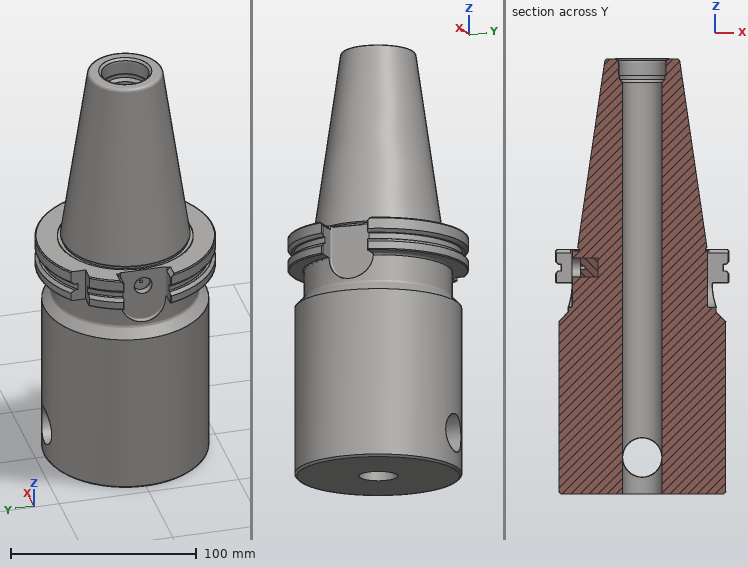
import cadquery as cq
import math

TOTAL_HEIGHT = 234.5

BODY_RADIUS = 45.0
BODY_TOP_Z = 93.0
BODY_BOTTOM_CHAMFER = 1.2

NECK_RADIUS = 39.9
NECK_FILLET = 1.9
NECK_TOP_FILLET = 0.82
SHOULDER_RISE = BODY_RADIUS - NECK_RADIUS

FLANGE_DIAMETER = 97.4
FLANGE_RADIUS = FLANGE_DIAMETER / 2
FLANGE_BOTTOM_Z = 113.8
FLANGE_TOP_Z = 131.8
FLANGE_CHAMFER = 0.59
GROOVE_CENTER_Z = 122.0
GROOVE_MOUTH_WIDTH = 7.0
GROOVE_STEP_RADIUS = 47.0
GROOVE_FLOOR_RADIUS = 45.5
GROOVE_FLANK_ANGLE = 45.0

TAPER_LARGE_RADIUS = 35.0
TAPER_BASE_Z = 133.0
TAPER_SLOPE = 7 / 48
TAPER_TIP_FILLET = 2.0
TAPER_TIP_RADIUS = TAPER_LARGE_RADIUS - (TOTAL_HEIGHT - TAPER_BASE_Z) * TAPER_SLOPE

UNDERCUT = 0.7
RELIEF_OUTER_RADIUS = 36.5
RELIEF_DEPTH = 0.7

BORE_RADIUS = 10.5
MOUTH_RADIUS = 14.3
MOUTH_CHAMFER_RADIUS = 13.0
MOUTH_CHAMFER_DEPTH = 1.2
COUNTERBORE_RADIUS = 12.7
LEAD_IN_DEPTH = 2.3
COUNTERBORE_DEPTH = 9.1
INNER_COUNTERBORE_RADIUS = 12.2
INNER_COUNTERBORE_DEPTH = 11.3
BORE_CHAMFER = INNER_COUNTERBORE_RADIUS - BORE_RADIUS

SLOT_HALF_WIDTH = 13.0
SLOT_LEFT_FLOOR = 37.8
SLOT_RIGHT_FLOOR = 35.2
SLOT_END_CENTER_Z = 113.5
SLOT_FLOOR_FILLET = 0.82
SLOT_TOP_CHAMFER = 2.0
SLOT_EDGE_CHAMFER = 0.59

NOTCH_OFFSET = 30.0

CLAMP_HOLE_RADIUS = 10.5
CLAMP_HOLE_Z = 19.7

PLUG_RADIUS = 5.0
PLUG_LENGTH = 9.5
PLUG_RECESS = 4.5
SOCKET_RADIUS = 0.82
SOCKET_DEPTH = 2.3


def revolve_profile(profile):
    """Revolve an XZ half section around the Z axis."""
    return profile.close().revolve(360, (0, 0, 0), (0, 1, 0))


def fillet_circle(solid, radius, z, fillet):
    """Fillet the one circular edge of the given radius at height z."""
    margin = fillet / 4
    edge = cq.selectors.BoxSelector(
        (-radius - margin, -radius - margin, z - margin),
        (radius + margin, radius + margin, z + margin),
        boundingbox=True,
    )
    return solid.edges(edge).fillet(fillet)


def make_body_and_neck():
    shoulder_top_z = BODY_TOP_Z + SHOULDER_RISE
    body = revolve_profile(
        cq.Workplane("XZ")
        .lineTo(BODY_RADIUS - BODY_BOTTOM_CHAMFER, 0)
        .lineTo(BODY_RADIUS, BODY_BOTTOM_CHAMFER)
        .lineTo(BODY_RADIUS, BODY_TOP_Z)
        .lineTo(NECK_RADIUS, shoulder_top_z)
        .lineTo(NECK_RADIUS, FLANGE_BOTTOM_Z)
        .lineTo(0, FLANGE_BOTTOM_Z)
    )
    return fillet_circle(body, NECK_RADIUS, shoulder_top_z, NECK_FILLET)


def make_flange():
    flank_height = (FLANGE_RADIUS - GROOVE_STEP_RADIUS) * math.tan(math.radians(GROOVE_FLANK_ANGLE))
    half_mouth = GROOVE_MOUTH_WIDTH / 2
    half_channel = half_mouth - flank_height
    edge_radius = FLANGE_RADIUS - FLANGE_CHAMFER
    relief_floor_z = FLANGE_TOP_Z - RELIEF_DEPTH
    return revolve_profile(
        cq.Workplane("XZ")
        .moveTo(0, FLANGE_BOTTOM_Z)
        .lineTo(edge_radius, FLANGE_BOTTOM_Z)
        .lineTo(FLANGE_RADIUS, FLANGE_BOTTOM_Z + FLANGE_CHAMFER)
        .lineTo(FLANGE_RADIUS, GROOVE_CENTER_Z - half_mouth)
        .lineTo(GROOVE_STEP_RADIUS, GROOVE_CENTER_Z - half_channel)
        .lineTo(GROOVE_FLOOR_RADIUS, GROOVE_CENTER_Z - half_channel)
        .lineTo(GROOVE_FLOOR_RADIUS, GROOVE_CENTER_Z + half_channel)
        .lineTo(GROOVE_STEP_RADIUS, GROOVE_CENTER_Z + half_channel)
        .lineTo(FLANGE_RADIUS, GROOVE_CENTER_Z + half_mouth)
        .lineTo(FLANGE_RADIUS, FLANGE_TOP_Z - FLANGE_CHAMFER)
        .lineTo(edge_radius, FLANGE_TOP_Z)
        .lineTo(RELIEF_OUTER_RADIUS, FLANGE_TOP_Z)
        .lineTo(RELIEF_OUTER_RADIUS, relief_floor_z)
        .lineTo(0, relief_floor_z)
    )


def make_taper():
    undercut_radius = TAPER_LARGE_RADIUS - UNDERCUT
    taper = revolve_profile(
        cq.Workplane("XZ")
        .moveTo(0, FLANGE_BOTTOM_Z)
        .lineTo(undercut_radius, FLANGE_BOTTOM_Z)
        .lineTo(undercut_radius, TAPER_BASE_Z - UNDERCUT)
        .lineTo(TAPER_LARGE_RADIUS, TAPER_BASE_Z)
        .lineTo(TAPER_TIP_RADIUS, TOTAL_HEIGHT)
        .lineTo(0, TOTAL_HEIGHT)
    )
    return taper.faces(">Z").edges().fillet(TAPER_TIP_FILLET)


def make_bore_cutter():
    inner_counterbore_z = TOTAL_HEIGHT - INNER_COUNTERBORE_DEPTH
    counterbore_z = TOTAL_HEIGHT - COUNTERBORE_DEPTH
    return revolve_profile(
        cq.Workplane("XZ")
        .lineTo(BORE_RADIUS, 0)
        .lineTo(BORE_RADIUS, inner_counterbore_z - BORE_CHAMFER)
        .lineTo(INNER_COUNTERBORE_RADIUS, inner_counterbore_z)
        .lineTo(INNER_COUNTERBORE_RADIUS, counterbore_z)
        .lineTo(COUNTERBORE_RADIUS, counterbore_z)
        .lineTo(COUNTERBORE_RADIUS, TOTAL_HEIGHT - LEAD_IN_DEPTH)
        .lineTo(MOUTH_CHAMFER_RADIUS, TOTAL_HEIGHT - MOUTH_CHAMFER_DEPTH)
        .lineTo(MOUTH_RADIUS, TOTAL_HEIGHT)
        .lineTo(0, TOTAL_HEIGHT)
    )


def make_slot_cutter(floor, side):
    """Round-ended slot, open upward; side is +1 for +X and -1 for -X."""
    depth = FLANGE_RADIUS - floor
    channel = (
        cq.Workplane("YZ", origin=(floor, 0, 0))
        .moveTo(-SLOT_HALF_WIDTH, SLOT_END_CENTER_Z)
        .threePointArc((0, SLOT_END_CENTER_Z - SLOT_HALF_WIDTH), (SLOT_HALF_WIDTH, SLOT_END_CENTER_Z))
        .lineTo(SLOT_HALF_WIDTH, TAPER_BASE_Z)
        .lineTo(-SLOT_HALF_WIDTH, TAPER_BASE_Z)
        .close()
        .extrude(depth)
        .faces("<X")
        .edges("not >Z")
        .fillet(SLOT_FLOOR_FILLET)
    )

    chamfer_start = floor + SLOT_FLOOR_FILLET
    chamfer_half_width = SLOT_HALF_WIDTH + SLOT_TOP_CHAMFER
    top_chamfer = (
        cq.Workplane("YZ", origin=(chamfer_start, 0, 0))
        .moveTo(-SLOT_HALF_WIDTH, FLANGE_TOP_Z - SLOT_TOP_CHAMFER)
        .lineTo(SLOT_HALF_WIDTH, FLANGE_TOP_Z - SLOT_TOP_CHAMFER)
        .lineTo(chamfer_half_width, FLANGE_TOP_Z)
        .lineTo(-chamfer_half_width, FLANGE_TOP_Z)
        .close()
        .extrude(FLANGE_RADIUS - chamfer_start)
    )

    rim_half_width = SLOT_HALF_WIDTH + SLOT_EDGE_CHAMFER
    rim_x = math.sqrt(FLANGE_RADIUS**2 - rim_half_width**2)
    edge_chamfer = (
        cq.Workplane("XY", origin=(0, 0, FLANGE_BOTTOM_Z))
        .moveTo(rim_x - SLOT_EDGE_CHAMFER, SLOT_HALF_WIDTH)
        .lineTo(rim_x, rim_half_width)
        .lineTo(FLANGE_RADIUS, rim_half_width)
        .lineTo(FLANGE_RADIUS, -rim_half_width)
        .lineTo(rim_x, -rim_half_width)
        .lineTo(rim_x - SLOT_EDGE_CHAMFER, -SLOT_HALF_WIDTH)
        .close()
        .extrude(FLANGE_TOP_Z - FLANGE_BOTTOM_Z)
    )

    cutter = channel.union(top_chamfer).union(edge_chamfer)
    if side < 0:
        cutter = cutter.mirror("YZ")
    return cutter


def make_notch_cutter():
    size = FLANGE_RADIUS - NOTCH_OFFSET
    return (
        cq.Workplane("XY", origin=(-NOTCH_OFFSET, NOTCH_OFFSET, FLANGE_BOTTOM_Z))
        .rect(-size, size, centered=False)
        .extrude(FLANGE_TOP_Z - FLANGE_BOTTOM_Z)
    )


def make_clamp_hole_cutter():
    """Radial hole from the +Y side to the axis."""
    return (
        cq.Workplane("XZ", origin=(0, 0, CLAMP_HOLE_Z))
        .circle(CLAMP_HOLE_RADIUS)
        .extrude(-BODY_RADIUS)
    )


def make_plug_hole_cutter():
    return (
        cq.Workplane("YZ", origin=(-SLOT_LEFT_FLOOR, 0, GROOVE_CENTER_Z))
        .circle(PLUG_RADIUS)
        .extrude(PLUG_RECESS + PLUG_LENGTH)
    )


def make_holder():
    holder = make_body_and_neck().union(make_flange())
    holder = fillet_circle(holder, NECK_RADIUS, FLANGE_BOTTOM_Z, NECK_TOP_FILLET)
    holder = holder.union(make_taper())
    holder = holder.cut(make_bore_cutter())
    holder = holder.cut(make_slot_cutter(SLOT_LEFT_FLOOR, -1))
    holder = holder.cut(make_slot_cutter(SLOT_RIGHT_FLOOR, 1))
    holder = holder.cut(make_notch_cutter())
    holder = holder.cut(make_clamp_hole_cutter())
    return holder.cut(make_plug_hole_cutter())


def make_plug():
    """Screw at the bottom of its hole, with a small central socket in the outer face."""
    face = cq.Workplane("YZ", origin=(-SLOT_LEFT_FLOOR + PLUG_RECESS, 0, GROOVE_CENTER_Z))
    plug = face.circle(PLUG_RADIUS).extrude(PLUG_LENGTH)
    socket = face.circle(SOCKET_RADIUS).extrude(SOCKET_DEPTH)
    return plug.cut(socket)


holder = make_holder()
plug = make_plug()

result = cq.Compound.makeCompound([holder.val(), plug.val()])